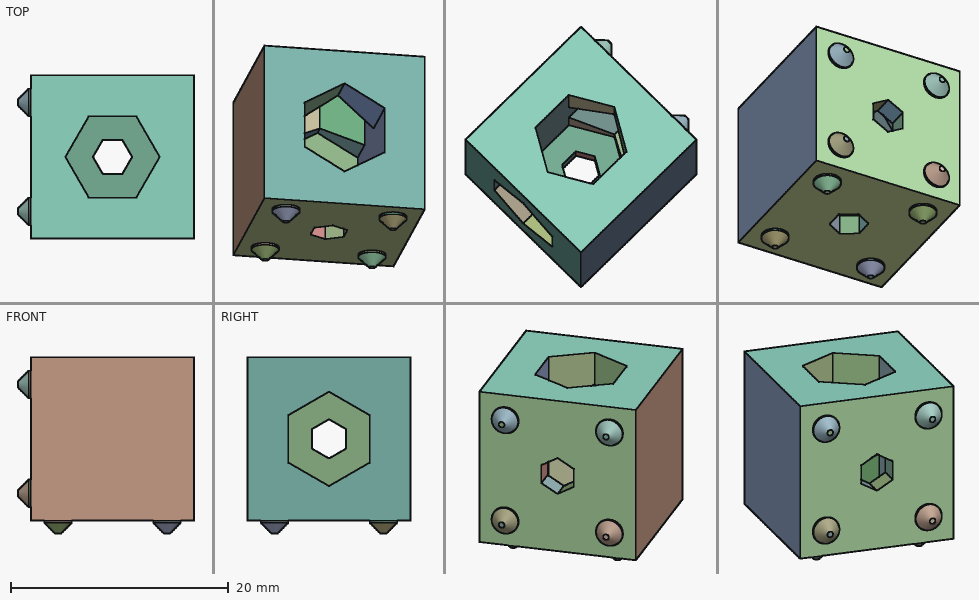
import cadquery as cq
import math

CUBE_SIZE = 15.0
HALF = CUBE_SIZE / 2

PIN_DIAMETER = 2.55
PIN_BASE_HEIGHT = 0.2
PIN_CONE_HEIGHT = 1.0
PIN_SPACING = 10.0

SOCKET_ACROSS_FLATS = 7.5
SOCKET_WALL = 2.0
HOLE_ACROSS_FLATS = 3.1


def across_corners(across_flats):
    """Corner-to-corner size of a regular hexagon."""
    return across_flats / math.cos(math.pi / 6)


def hex_prism(across_flats, bottom, top):
    """Upright hexagonal prism on the Z axis with two corners on the X axis."""
    return (
        cq.Workplane("XY", origin=(0, 0, bottom))
        .polygon(6, across_corners(across_flats))
        .extrude(top - bottom)
    )


def pin():
    """Pin pointing down from the -Z face, centred on the Z axis."""
    radius = PIN_DIAMETER / 2
    tip_radius = radius - PIN_CONE_HEIGHT
    base_bottom = -HALF - PIN_BASE_HEIGHT
    tip_bottom = base_bottom - PIN_CONE_HEIGHT
    profile = [
        (0, -HALF),
        (radius, -HALF),
        (radius, base_bottom),
        (tip_radius, tip_bottom),
        (0, tip_bottom),
    ]
    return cq.Workplane("XZ").polyline(profile).close().revolve(360, (0, 0), (0, 1))


def turn_to_x(shape):
    """Turn a Z-axis feature onto the X axis, carrying +Z to +X."""
    return shape.rotate((0, 0, 0), (0, 1, 0), 90)


passage = hex_prism(HOLE_ACROSS_FLATS, -HALF, HALF).union(
    hex_prism(SOCKET_ACROSS_FLATS, -HALF + SOCKET_WALL, HALF)
)

body = cq.Workplane("XY").box(CUBE_SIZE, CUBE_SIZE, CUBE_SIZE)
body = body.cut(passage).cut(turn_to_x(passage))

for x_side in (-1, 1):
    for y_side in (-1, 1):
        offset = (x_side * PIN_SPACING / 2, y_side * PIN_SPACING / 2, 0)
        placed_pin = pin().translate(offset)
        body = body.union(placed_pin).union(turn_to_x(placed_pin))

result = body